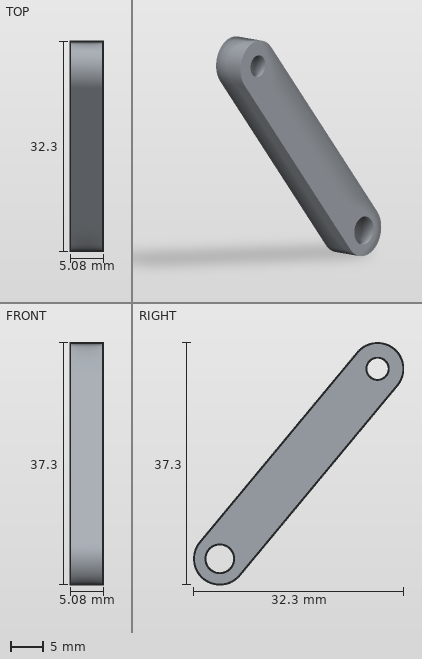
import cadquery as cq
import math

thickness = 5.08
hole_spacing = 38.1
tilt_angle = 50.3
end_radius = 4.0
lower_hole_diameter = 4.4
upper_hole_diameter = 3.4

half_span_y = hole_spacing / 2 * math.cos(math.radians(tilt_angle))
half_span_z = hole_spacing / 2 * math.sin(math.radians(tilt_angle))
lower_pivot = (-half_span_y, -half_span_z)
upper_pivot = (half_span_y, half_span_z)


def side_plane():
    """YZ workplane on the -X side of the link, so the part is centred in X."""
    return cq.Workplane("YZ", origin=(-thickness / 2, 0, 0))


def link_body():
    """Straight tilted bar with full-round ends."""
    overall_length = hole_spacing + 2 * end_radius
    return side_plane().slot2D(overall_length, 2 * end_radius, tilt_angle).extrude(thickness)


def pivot_hole(center, diameter):
    """Cylinder that cuts a through hole along X."""
    return side_plane().center(*center).circle(diameter / 2).extrude(thickness)


result = (
    link_body()
    .cut(pivot_hole(lower_pivot, lower_hole_diameter))
    .cut(pivot_hole(upper_pivot, upper_hole_diameter))
)